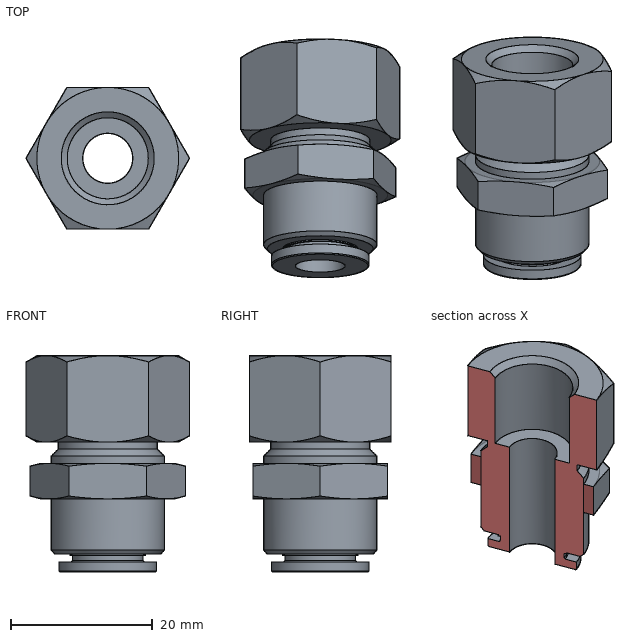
import cadquery as cq
import math

total_height = 30.5

body_hex_flats = 20.0
body_hex_bottom = 18.3
body_hex_height = total_height - body_hex_bottom
body_hex_chamfer_angle = 30.0

nut_hex_flats = 19.0
nut_bottom = 10.3
nut_height = 5.0
nut_chamfer_angle = 15.0

barrel_diameter = 16.0
barrel_tip_diameter = 14.9
barrel_bottom = 2.5
barrel_chamfer_top = 3.08
relief_diameter = 14.0
relief_cone_bottom = 16.32
relief_cone_top = 17.32

flange_diameter = 13.8
flange_height = 1.43
flange_chamfer = 0.15
neck_diameter = 10.0
neck_flare_diameter = 10.25
neck_flare_top = 1.62
lip_diameter = 10.6
lip_bottom = 2.32

through_bore_diameter = 7.0
socket_diameter = 11.45
socket_mouth_diameter = 13.1
socket_mouth_depth = 0.85
socket_depth = 12.2


def revolve_profile(points):
    """Revolve a closed (radius, z) outline about the Z axis."""
    return cq.Workplane("XZ").polyline(points).close().revolve(360, (0, 0), (0, 1))


def chamfered_hexagon(flats, bottom, height, chamfer_angle):
    """Hexagonal prism whose corners are turned to a cone at both ends."""
    flat_radius = flats / 2
    corner_radius = flat_radius / math.cos(math.radians(30))
    chamfer_height = (corner_radius - flat_radius) * math.tan(math.radians(chamfer_angle))
    top = bottom + height
    prism = (
        cq.Workplane("XY")
        .workplane(offset=bottom)
        .polygon(6, 2 * corner_radius)
        .extrude(height)
    )
    turned_envelope = revolve_profile([
        (0, bottom),
        (flat_radius, bottom),
        (corner_radius, bottom + chamfer_height),
        (corner_radius, top - chamfer_height),
        (flat_radius, top),
        (0, top),
    ])
    return prism.intersect(turned_envelope)


def make_stem():
    """Release collar, barrel and relief groove, turned as one shape up to the main hexagon."""
    flange_radius = flange_diameter / 2
    return revolve_profile([
        (0, 0),
        (flange_radius - flange_chamfer, 0),
        (flange_radius, flange_chamfer),
        (flange_radius, flange_height),
        (neck_flare_diameter / 2, flange_height),
        (neck_diameter / 2, neck_flare_top),
        (neck_diameter / 2, lip_bottom),
        (lip_diameter / 2, lip_bottom),
        (lip_diameter / 2, barrel_bottom),
        (barrel_tip_diameter / 2, barrel_bottom),
        (barrel_diameter / 2, barrel_chamfer_top),
        (barrel_diameter / 2, relief_cone_bottom),
        (relief_diameter / 2, relief_cone_top),
        (relief_diameter / 2, body_hex_bottom),
        (0, body_hex_bottom),
    ])


def make_bore():
    """Through bore opening into a wider socket with a countersunk mouth."""
    socket_floor = total_height - socket_depth
    return revolve_profile([
        (0, 0),
        (through_bore_diameter / 2, 0),
        (through_bore_diameter / 2, socket_floor),
        (socket_diameter / 2, socket_floor),
        (socket_diameter / 2, total_height - socket_mouth_depth),
        (socket_mouth_diameter / 2, total_height),
        (0, total_height),
    ])


def make_fitting_body():
    """Main hexagon on the turned stem, with the stepped bore through both."""
    hexagon = chamfered_hexagon(
        body_hex_flats, body_hex_bottom, body_hex_height, body_hex_chamfer_angle
    )
    return hexagon.union(make_stem()).cut(make_bore())


def make_locknut():
    """Hexagonal nut whose hole fits the barrel."""
    hexagon = chamfered_hexagon(nut_hex_flats, nut_bottom, nut_height, nut_chamfer_angle)
    hole = (
        cq.Workplane("XY")
        .workplane(offset=nut_bottom)
        .circle(barrel_diameter / 2)
        .extrude(nut_height)
    )
    return hexagon.cut(hole)


fitting_body = make_fitting_body()
locknut = make_locknut()

result = cq.Compound.makeCompound([fitting_body.val(), locknut.val()])